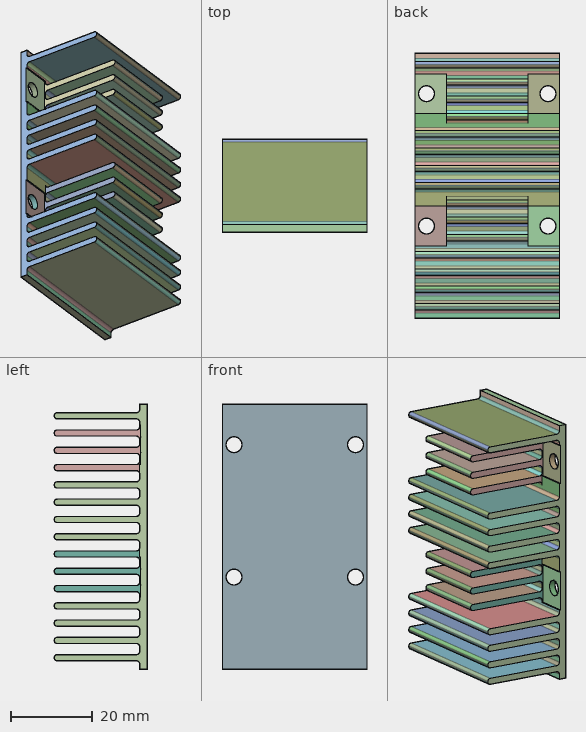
import cadquery as cq

WIDTH = 35.55
DEPTH = 22.85
HEIGHT = 65.1
BASE_THICKNESS = 1.9

FIN_COUNT = 15
END_FIN_INSET = 2.85
FIN_PITCH = (HEIGHT - 2 * END_FIN_INSET) / (FIN_COUNT - 1)
FIN_THICKNESS = 1.55
TIP_RADIUS = 0.7
ROOT_RADIUS = 0.8

HOLE_DIAMETER = 3.85
HOLE_SPACING_X = 29.8
HOLE_SPACING_Z = 32.5
UPPER_HOLE_FROM_TOP = 9.95
RECESS_SIZE = 9.75
RECESS_DEPTH = 0.25
UPPER_SHORT_FINS_CENTRE = 2
LOWER_SHORT_FINS_CENTRE = 9
SHORT_FIN_COUNT = 3

TOP_FIN_Z = FIN_PITCH * (FIN_COUNT - 1) / 2
UPPER_HOLE_Z = HEIGHT / 2 - UPPER_HOLE_FROM_TOP
HOLE_X = HOLE_SPACING_X / 2
HOLE_POSITIONS = [
    (x, z)
    for x in (-HOLE_X, HOLE_X)
    for z in (UPPER_HOLE_Z, UPPER_HOLE_Z - HOLE_SPACING_Z)
]


def make_block(width, depth, height, x, y_start, z):
    """Box centred on x and z that grows toward +Y from y_start."""
    block = cq.Workplane("XY").box(width, depth, height, centered=(True, False, True))
    return block.translate((x, y_start, z))


def make_finned_body():
    """Base plate and fins, with rounded fin tips and filleted fin roots."""
    body = make_block(WIDTH, BASE_THICKNESS, HEIGHT, 0, 0, 0)
    for index in range(FIN_COUNT):
        fin_z = TOP_FIN_Z - index * FIN_PITCH
        body = body.union(make_block(WIDTH, DEPTH, FIN_THICKNESS, 0, 0, fin_z))

    body = body.faces(">Y").edges("|X").fillet(TIP_RADIUS)

    root_zone = cq.selectors.BoxSelector(
        (-WIDTH, BASE_THICKNESS - ROOT_RADIUS, -HEIGHT / 2 + ROOT_RADIUS),
        (WIDTH, BASE_THICKNESS + ROOT_RADIUS, HEIGHT / 2 - ROOT_RADIUS),
    )
    return body.edges("|X").edges(root_zone).fillet(ROOT_RADIUS)


def shorten_fins(body):
    """Cut groups of fins back to the base surface at both sides, beside the holes."""
    cut_width = WIDTH / 2 - HOLE_X + RECESS_SIZE / 2
    cut_x = WIDTH / 2 - cut_width / 2
    cut_height = SHORT_FIN_COUNT * FIN_PITCH
    for centre_index in (UPPER_SHORT_FINS_CENTRE, LOWER_SHORT_FINS_CENTRE):
        cut_z = TOP_FIN_Z - centre_index * FIN_PITCH
        for side in (-1, 1):
            cutter = make_block(cut_width, DEPTH, cut_height, side * cut_x, BASE_THICKNESS, cut_z)
            body = body.cut(cutter)
    return body


def cut_recesses(body):
    """Sink a shallow square around each hole, open at the side of the base."""
    floor_y = BASE_THICKNESS - RECESS_DEPTH
    for x, z in HOLE_POSITIONS:
        body = body.cut(make_block(RECESS_SIZE, RECESS_DEPTH, RECESS_SIZE, x, floor_y, z))
    return body


def cut_holes(body):
    """Drill the mounting holes through the base."""
    drills = (
        cq.Workplane("XZ")
        .pushPoints(HOLE_POSITIONS)
        .circle(HOLE_DIAMETER / 2)
        .extrude(-DEPTH)
    )
    return body.cut(drills)


result = cut_holes(cut_recesses(shorten_fins(make_finned_body())))